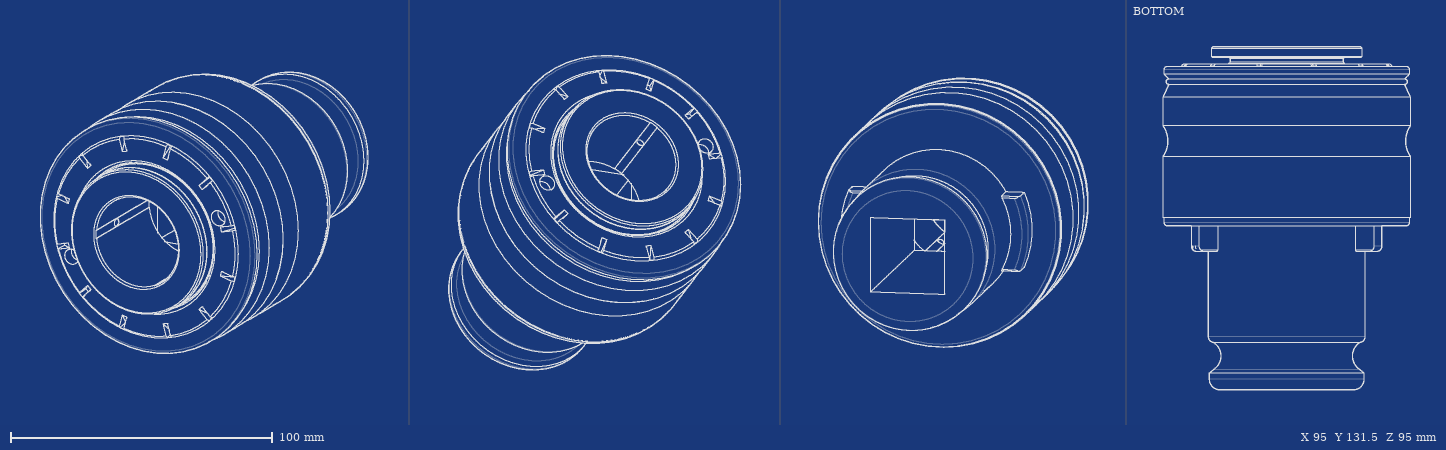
import cadquery as cq
import math


FLANGE_BACK = 4.1
NECK_BACK = 6.5
NUT_FACE = 6.6
COLLAR_FACE = 7.5
CONE_START = 10.5
RING_FRONT = 12.4
HOUSING_FRONT = 14.5
HOUSING_TAPER_END = 19.3
SHANK_FRONT = 42.1
HOUSING_BACK = 68.6
REAR_END = 131.5

FLANGE_RADIUS = 28.9
FLANGE_FRONT_CHAMFER = 0.7
FLANGE_BACK_CHAMFER = 0.4
NECK_RADIUS = 21.7
NECK_FLARE = 0.5
SLEEVE_RADIUS = 29.6
SHOULDER_SETBACK = 1.6
SHOULDER_CHAMFER = 0.5
BORE_RADIUS = 18.0
BORE_CHAMFER = 0.8
STRIP_COUNT = 3
STRIP_FIRST_ANGLE = 60.0
STRIP_WIDTH = 3.3
STRIP_DEPTH = 0.1
NUB_RADIUS = 1.7
NUB_RISE = 0.8
NUB_PLACE = 16.6

COLLAR_RADIUS = 47.1
COLLAR_ROUND = 1.3
DIAL_RADIUS = 40.5
DIAL_CHAMFER = 0.9
NUT_COUNTERSINK = 1.2
RING_GROOVE_EDGE_RADIUS = 45.2
TICK_COUNT = 12
TICK_FIRST_ANGLE = 15.0
TICK_WIDTH = 2.0
TICK_INNER_RADIUS = 34.6
TICK_FLOOR_LENGTH = 5.0
TICK_SLOPE = 45.0
SPANNER_HOLE_DIAMETER = 6.0
SPANNER_HOLE_DEPTH = 5.3
SPANNER_HOLE_RADIUS = 34.8
SPANNER_HOLE_ANGLE = 22.5
DRILL_POINT_ANGLE = 118.0

WIRE_RADIUS = (HOUSING_FRONT - RING_FRONT) / 2
RING_OUTER_RADIUS = 46.3
RING_MEAN_RADIUS = RING_OUTER_RADIUS - WIRE_RADIUS
RING_SEAT_RADIUS = RING_MEAN_RADIUS - WIRE_RADIUS

HOUSING_RADIUS = 47.5
WAIST_FRONT = 30.2
WAIST_BACK = 42.1
WAIST_RADIUS = 45.6
BACK_STEP = 65.5

SHANK_RADIUS = 30.1
SHANK_ROUND_START = 111.0
THROAT_FRONT = 113.4
THROAT_BACK = 123.6
THROAT_EDGE_RADIUS = 28.0
THROAT_RADIUS = 25.2
HEAD_RADIUS = 29.7
HEAD_FRONT = 125.0
HEAD_ROUND = 4.2
SQUARE_WIDTH = 28.9

LUG_OUTER_RADIUS = 36.5
LUG_INNER_RADIUS = 26.3
LUG_BACK = 78.5
LUG_WIDTH = 29.2
LUG_ROUND = 2.1
LUG_EDGE = 0.7


def revolved(profile):
    """Turn a closed (radius, Y) profile about the Y axis."""
    return profile.close().revolve(360, (0, 0, 0), (0, 1, 0))


def quarter_middle(center_radius, center_y, radius, radial_sign, axial_sign):
    """Middle point of a quarter round about the given center."""
    reach = radius * math.sqrt(0.5)
    return (center_radius + radial_sign * reach, center_y + axial_sign * reach)


def turned_to(shape, angle):
    """Turn a shape made on the +X side about Y, so that it lies at an angle from +X towards +Z."""
    return shape.rotate((0, 0, 0), (0, 1, 0), -angle)


def make_sleeve():
    """Flanged drive sleeve with a round bore and a flared neck, its shoulder set back inside the nut."""
    flare_radius = NECK_RADIUS + NECK_FLARE
    shoulder_face = NUT_FACE + SHOULDER_SETBACK
    profile = (
        cq.Workplane("XY")
        .moveTo(BORE_RADIUS + BORE_CHAMFER, 0)
        .lineTo(FLANGE_RADIUS - FLANGE_FRONT_CHAMFER, 0)
        .lineTo(FLANGE_RADIUS, FLANGE_FRONT_CHAMFER)
        .lineTo(FLANGE_RADIUS, FLANGE_BACK - FLANGE_BACK_CHAMFER)
        .lineTo(FLANGE_RADIUS - FLANGE_BACK_CHAMFER, FLANGE_BACK)
        .lineTo(flare_radius, FLANGE_BACK)
        .lineTo(NECK_RADIUS, FLANGE_BACK + NECK_FLARE)
        .lineTo(NECK_RADIUS, NECK_BACK - NECK_FLARE)
        .lineTo(flare_radius, NECK_BACK)
        .lineTo(flare_radius, shoulder_face)
        .lineTo(SLEEVE_RADIUS - SHOULDER_CHAMFER, shoulder_face)
        .lineTo(SLEEVE_RADIUS, shoulder_face + SHOULDER_CHAMFER)
        .lineTo(SLEEVE_RADIUS, SHANK_FRONT)
        .lineTo(BORE_RADIUS, SHANK_FRONT)
        .lineTo(BORE_RADIUS, BORE_CHAMFER)
    )
    sleeve = revolved(profile)
    for index in range(STRIP_COUNT):
        angle = STRIP_FIRST_ANGLE + index * 360 / STRIP_COUNT
        sleeve = sleeve.cut(turned_to(bore_strip(), angle)).union(turned_to(bore_nub(), angle))
    return sleeve


def bore_strip():
    """Shallow lengthwise strip in the wall of the bore."""
    outer = BORE_RADIUS + STRIP_DEPTH
    rod = cq.Workplane("XZ").circle(outer).extrude(-SHANK_FRONT)
    bar = cq.Workplane("XY").box(outer, SHANK_FRONT, STRIP_WIDTH, centered=(False, False, True))
    return rod.intersect(bar)


def bore_nub():
    """Ball nub that stands out of a bore strip."""
    center = BORE_RADIUS - NUB_RISE + NUB_RADIUS
    return cq.Workplane("XY").sphere(NUB_RADIUS).translate((center, NUB_PLACE, 0))


def make_nut():
    """Adjusting nut: graduated dial, collar and the seat of the wire ring."""
    round_radius = COLLAR_RADIUS - COLLAR_ROUND
    round_place = COLLAR_FACE + COLLAR_ROUND
    profile = (
        cq.Workplane("XY")
        .moveTo(SLEEVE_RADIUS + NUT_COUNTERSINK, NUT_FACE)
        .lineTo(DIAL_RADIUS - DIAL_CHAMFER, NUT_FACE)
        .lineTo(DIAL_RADIUS, COLLAR_FACE)
        .lineTo(round_radius, COLLAR_FACE)
        .threePointArc(
            quarter_middle(round_radius, round_place, COLLAR_ROUND, 1, -1),
            (COLLAR_RADIUS, round_place),
        )
        .lineTo(COLLAR_RADIUS, CONE_START)
        .lineTo(RING_GROOVE_EDGE_RADIUS, RING_FRONT)
        .lineTo(RING_SEAT_RADIUS, RING_FRONT)
        .lineTo(RING_SEAT_RADIUS, HOUSING_FRONT)
        .lineTo(SLEEVE_RADIUS, HOUSING_FRONT)
        .lineTo(SLEEVE_RADIUS, NUT_FACE + NUT_COUNTERSINK)
    )
    nut = revolved(profile)
    for index in range(TICK_COUNT):
        nut = nut.cut(turned_to(tick_cut(), TICK_FIRST_ANGLE + index * 360 / TICK_COUNT))
    for angle in (SPANNER_HOLE_ANGLE, SPANNER_HOLE_ANGLE + 180):
        nut = nut.cut(turned_to(spanner_hole(), angle))
    return nut


def tick_cut():
    """Graduation mark whose floor slopes down towards the rim of the dial."""
    depth = TICK_FLOOR_LENGTH * math.tan(math.radians(TICK_SLOPE))
    return (
        cq.Workplane("XY")
        .moveTo(TICK_INNER_RADIUS, NUT_FACE)
        .lineTo(DIAL_RADIUS, NUT_FACE)
        .lineTo(TICK_INNER_RADIUS + TICK_FLOOR_LENGTH, NUT_FACE + depth)
        .close()
        .extrude(TICK_WIDTH / 2, both=True)
    )


def spanner_hole():
    """Blind drilled hole with a conical bottom."""
    radius = SPANNER_HOLE_DIAMETER / 2
    bottom = NUT_FACE + SPANNER_HOLE_DEPTH
    tip = bottom + radius / math.tan(math.radians(DRILL_POINT_ANGLE / 2))
    profile = (
        cq.Workplane("XY")
        .moveTo(0, NUT_FACE)
        .lineTo(radius, NUT_FACE)
        .lineTo(radius, bottom)
        .lineTo(0, tip)
    )
    return revolved(profile).translate((SPANNER_HOLE_RADIUS, 0, 0))


def make_wire_ring():
    """Round wire ring between the nut and the housing."""
    center = RING_FRONT + WIRE_RADIUS
    return cq.Workplane("XY").moveTo(RING_MEAN_RADIUS, center).circle(WIRE_RADIUS).revolve(
        360, (0, 0, 0), (0, 1, 0)
    )


def make_housing():
    """Outer housing with a rounded waist and a slightly smaller back collar."""
    round_radius = COLLAR_RADIUS - COLLAR_ROUND
    round_place = HOUSING_BACK - COLLAR_ROUND
    profile = (
        cq.Workplane("XY")
        .moveTo(SLEEVE_RADIUS, HOUSING_FRONT)
        .lineTo(RING_GROOVE_EDGE_RADIUS, HOUSING_FRONT)
        .lineTo(HOUSING_RADIUS, HOUSING_TAPER_END)
        .lineTo(HOUSING_RADIUS, WAIST_FRONT)
        .threePointArc((WAIST_RADIUS, (WAIST_FRONT + WAIST_BACK) / 2), (HOUSING_RADIUS, WAIST_BACK))
        .lineTo(HOUSING_RADIUS, BACK_STEP)
        .lineTo(COLLAR_RADIUS, BACK_STEP)
        .lineTo(COLLAR_RADIUS, round_place)
        .threePointArc(
            quarter_middle(round_radius, round_place, COLLAR_ROUND, 1, 1),
            (round_radius, HOUSING_BACK),
        )
        .lineTo(SHANK_RADIUS, HOUSING_BACK)
        .lineTo(SHANK_RADIUS, SHANK_FRONT)
        .lineTo(SLEEVE_RADIUS, SHANK_FRONT)
    )
    return revolved(profile)


def make_shank():
    """Shank with a throat behind its head, two driving lugs and a square hole."""
    round_radius = HEAD_RADIUS - HEAD_ROUND
    round_place = REAR_END - HEAD_ROUND
    profile = (
        cq.Workplane("XY")
        .moveTo(0, SHANK_FRONT)
        .lineTo(SHANK_RADIUS, SHANK_FRONT)
        .lineTo(SHANK_RADIUS, SHANK_ROUND_START)
        .tangentArcPoint((THROAT_EDGE_RADIUS, THROAT_FRONT), relative=False)
        .threePointArc(
            (THROAT_RADIUS, (THROAT_FRONT + THROAT_BACK) / 2), (THROAT_EDGE_RADIUS, THROAT_BACK)
        )
        .lineTo(HEAD_RADIUS, HEAD_FRONT)
        .lineTo(HEAD_RADIUS, round_place)
        .threePointArc(
            quarter_middle(round_radius, round_place, HEAD_ROUND, 1, 1), (round_radius, REAR_END)
        )
        .lineTo(0, REAR_END)
    )
    shank = revolved(profile)
    for angle in (0, 180):
        shank = shank.union(turned_to(driving_lug(), angle))
    square = cq.Workplane("XZ").rect(SQUARE_WIDTH, SQUARE_WIDTH).extrude(-REAR_END)
    return shank.cut(square)


def driving_lug():
    """Lug with a round outer face, against the back of the housing."""
    height = LUG_BACK - HOUSING_BACK
    corner_radius = LUG_OUTER_RADIUS - LUG_ROUND
    corner_place = LUG_BACK - LUG_ROUND
    profile = (
        cq.Workplane("XY")
        .moveTo(LUG_INNER_RADIUS, HOUSING_BACK)
        .lineTo(LUG_OUTER_RADIUS, HOUSING_BACK)
        .lineTo(LUG_OUTER_RADIUS, corner_place)
        .threePointArc(
            quarter_middle(corner_radius, corner_place, LUG_ROUND, 1, 1), (corner_radius, LUG_BACK)
        )
        .lineTo(LUG_INNER_RADIUS, LUG_BACK)
    )
    block = (
        cq.Workplane("XY", origin=(0, HOUSING_BACK, 0))
        .box(LUG_OUTER_RADIUS, height, LUG_WIDTH, centered=(False, False, True))
        .edges(">Y and |X")
        .chamfer(LUG_EDGE)
    )
    return revolved(profile).intersect(block)


sleeve = make_sleeve()
nut = make_nut()
wire_ring = make_wire_ring()
housing = make_housing()
shank = make_shank()

result = cq.Compound.makeCompound(
    [sleeve.val(), nut.val(), wire_ring.val(), housing.val(), shank.val()]
)